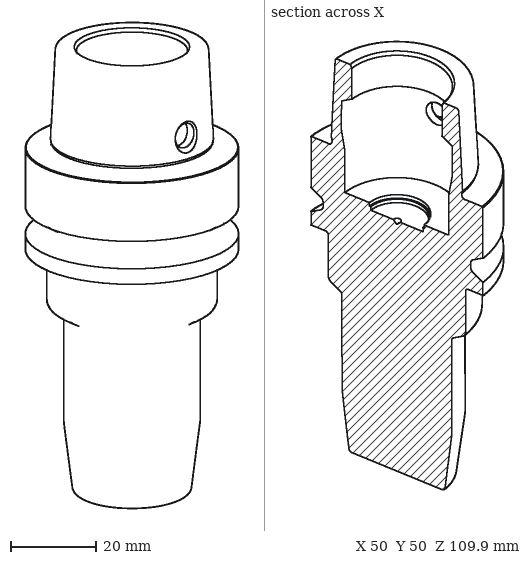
import cadquery as cq
import math


SHOULDER_SLOPE = math.tan(math.radians(30))

SHANK_TOP_Z = 24.9
TAPER_START_Z = 2.0
TAPER_START_RADIUS = 19.1
TAPER_SLOPE = 1 / 20
SHANK_RIM_FILLET = 0.8

UNDERCUT_RADIUS = 18.9
UNDERCUT_TOP_Z = 1.4
UNDERCUT_FILLET = 0.8
UNDERCUT_DEPTH = 0.2
UNDERCUT_OUTER_RADIUS = 20.3

FLANGE_RADIUS = 25.0
FLANGE_EDGE_CHAMFER = 0.2
FLANGE_BOTTOM_Z = -25.25
GROOVE_CENTER_Z = -18.0
GROOVE_MOUTH_WIDTH = 6.8
GROOVE_FLOOR_RADIUS = 21.5
GROOVE_FILLET = 1.0

COLLAR_RADIUS = 20.0
COLLAR_TOP_FILLET = 0.7
COLLAR_EDGE_FILLET = 2.0
SHOULDER_TOP_Z = -38.6
NECK_RADIUS = 16.0
NECK_FILLET = 0.6
NOSE_TOP_Z = -68.0
NOSE_BOTTOM_Z = -85.0
NOSE_BOTTOM_RADIUS = 13.9
NOSE_FILLET = 1.0

BORE_RADIUS = 13.0
BORE_CHAMFER_WIDTH = 0.5
BORE_CHAMFER_HEIGHT = 0.9
CLAMP_EDGE_Z = 15.2
CLAMP_RADIUS = 16.0
CLAMP_BOTTOM_Z = 5.3
LOWER_BORE_RADIUS = 15.0
LOWER_CONE_ANGLE = math.radians(10)
BORE_FLOOR_Z = -12.0

RECESS_RADIUS = 7.9
RECESS_LEDGE_DEPTH = 1.0
RECESS_INNER_RADIUS = 7.5
RECESS_DEPTH = 2.0
CENTER_MARK_RADIUS = 1.0
CENTER_MARK_DEPTH = 1.0

CROSS_HOLE_Z = 7.5
CROSS_HOLE_RADIUS = 3.0
CROSS_HOLE_CHAMFER = 0.8
CROSS_HOLE_OVERRUN = 1.0


def taper_radius(z):
    """Radius of the shank taper at height z."""
    return TAPER_START_RADIUS - (z - TAPER_START_Z) * TAPER_SLOPE


def turn_about_z(outline):
    """Turn a closed outline of (radius, height) points about Z."""
    return cq.Workplane("YZ").polyline(outline).close().revolve(360, (0, 0, 0), (0, 1, 0))


def corner_fillet(body, radius, fillet_radius, z):
    """Round the circular edge of the given radius at height z."""
    tolerance = 0.01
    box = cq.selectors.BoxSelector(
        (-radius - tolerance, -radius - tolerance, z - tolerance),
        (radius + tolerance, radius + tolerance, z + tolerance),
        boundingbox=True,
    )
    edges = [e for e in body.edges(box).vals() if abs(e.BoundingBox().ymax - radius) < tolerance]
    return body.newObject(edges).fillet(fillet_radius)


def make_body():
    """Solid outer form with its rounded corners."""
    half_mouth = GROOVE_MOUTH_WIDTH / 2
    half_floor = half_mouth - (FLANGE_RADIUS - GROOVE_FLOOR_RADIUS) * SHOULDER_SLOPE
    groove_floor_top = GROOVE_CENTER_Z + half_floor
    groove_floor_bottom = GROOVE_CENTER_Z - half_floor
    shoulder_bottom = SHOULDER_TOP_Z - (COLLAR_RADIUS - NECK_RADIUS) * SHOULDER_SLOPE
    shank_rim_radius = taper_radius(SHANK_TOP_Z)

    outline = [
        (0, SHANK_TOP_Z),
        (shank_rim_radius, SHANK_TOP_Z),
        (TAPER_START_RADIUS, TAPER_START_Z),
        (UNDERCUT_RADIUS, UNDERCUT_TOP_Z),
        (UNDERCUT_RADIUS, -UNDERCUT_DEPTH),
        (UNDERCUT_OUTER_RADIUS, 0),
        (FLANGE_RADIUS - FLANGE_EDGE_CHAMFER, 0),
        (FLANGE_RADIUS, -FLANGE_EDGE_CHAMFER),
        (FLANGE_RADIUS, GROOVE_CENTER_Z + half_mouth),
        (GROOVE_FLOOR_RADIUS, groove_floor_top),
        (GROOVE_FLOOR_RADIUS, groove_floor_bottom),
        (FLANGE_RADIUS, GROOVE_CENTER_Z - half_mouth),
        (FLANGE_RADIUS, FLANGE_BOTTOM_Z),
        (COLLAR_RADIUS, FLANGE_BOTTOM_Z),
        (COLLAR_RADIUS, SHOULDER_TOP_Z),
        (NECK_RADIUS, shoulder_bottom),
        (NECK_RADIUS, NOSE_TOP_Z),
        (NOSE_BOTTOM_RADIUS, NOSE_BOTTOM_Z),
        (0, NOSE_BOTTOM_Z),
    ]
    body = turn_about_z(outline)

    rounded_corners = [
        (shank_rim_radius, SHANK_RIM_FILLET, SHANK_TOP_Z),
        (UNDERCUT_RADIUS, UNDERCUT_FILLET, -UNDERCUT_DEPTH),
        (GROOVE_FLOOR_RADIUS, GROOVE_FILLET, groove_floor_top),
        (GROOVE_FLOOR_RADIUS, GROOVE_FILLET, groove_floor_bottom),
        (COLLAR_RADIUS, COLLAR_TOP_FILLET, FLANGE_BOTTOM_Z),
        (COLLAR_RADIUS, COLLAR_EDGE_FILLET, SHOULDER_TOP_Z),
        (NECK_RADIUS, NECK_FILLET, shoulder_bottom),
        (NOSE_BOTTOM_RADIUS, NOSE_FILLET, NOSE_BOTTOM_Z),
    ]
    for radius, fillet_radius, z in rounded_corners:
        body = corner_fillet(body, radius, fillet_radius, z)
    return body


def make_clamping_bore():
    """Bore that widens below the clamping edge and narrows again to a flat floor."""
    clamp_cone_height = (CLAMP_RADIUS - BORE_RADIUS) * SHOULDER_SLOPE
    lower_cone_height = (CLAMP_RADIUS - LOWER_BORE_RADIUS) / math.tan(LOWER_CONE_ANGLE)
    outline = [
        (0, SHANK_TOP_Z),
        (BORE_RADIUS + BORE_CHAMFER_WIDTH, SHANK_TOP_Z),
        (BORE_RADIUS, SHANK_TOP_Z - BORE_CHAMFER_HEIGHT),
        (BORE_RADIUS, CLAMP_EDGE_Z),
        (CLAMP_RADIUS, CLAMP_EDGE_Z - clamp_cone_height),
        (CLAMP_RADIUS, CLAMP_BOTTOM_Z),
        (LOWER_BORE_RADIUS, CLAMP_BOTTOM_Z - lower_cone_height),
        (LOWER_BORE_RADIUS, BORE_FLOOR_Z),
        (0, BORE_FLOOR_Z),
    ]
    return turn_about_z(outline)


def make_floor_recess():
    """Stepped recess with a small conical centre mark."""
    ledge = BORE_FLOOR_Z - RECESS_LEDGE_DEPTH
    recess_floor = BORE_FLOOR_Z - RECESS_DEPTH
    outline = [
        (0, BORE_FLOOR_Z),
        (RECESS_RADIUS, BORE_FLOOR_Z),
        (RECESS_RADIUS, ledge),
        (RECESS_INNER_RADIUS, ledge),
        (RECESS_INNER_RADIUS, recess_floor),
        (CENTER_MARK_RADIUS, recess_floor),
        (0, recess_floor - CENTER_MARK_DEPTH),
    ]
    return turn_about_z(outline)


def make_cross_hole():
    """Hole along X, countersunk at 45 degrees where it leaves the taper on both sides."""
    half_length = TAPER_START_RADIUS + CROSS_HOLE_OVERRUN
    countersink_start = taper_radius(CROSS_HOLE_Z) - CROSS_HOLE_CHAMFER
    mouth_radius = CROSS_HOLE_RADIUS + half_length - countersink_start
    outline = [
        (-half_length, 0),
        (-half_length, mouth_radius),
        (-countersink_start, CROSS_HOLE_RADIUS),
        (countersink_start, CROSS_HOLE_RADIUS),
        (half_length, mouth_radius),
        (half_length, 0),
    ]
    hole = cq.Workplane("XY").polyline(outline).close().revolve(360, (0, 0, 0), (1, 0, 0))
    return hole.translate((0, 0, CROSS_HOLE_Z))


result = make_body()
result = result.cut(make_clamping_bore())
result = result.cut(make_floor_recess())
result = result.cut(make_cross_hole())